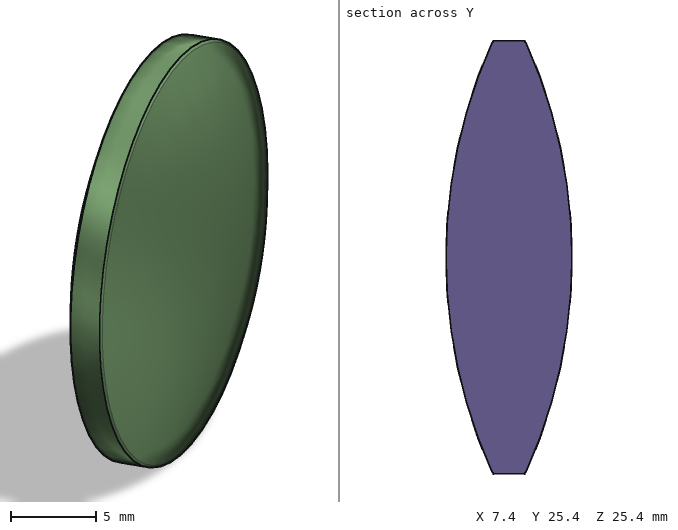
import cadquery as cq

diameter = 25.4
center_thickness = 7.4
rim_width = 1.83
chamfer_width = 0.1
chamfer_depth = 0.15

radius = diameter / 2
half_thickness = center_thickness / 2
half_rim = rim_width / 2
face_radius = radius - chamfer_depth
face_edge_x = half_rim + chamfer_width

sag = half_thickness - face_edge_x
sphere_radius = (face_radius**2 + sag**2) / (2 * sag)

mid_y = face_radius / 2
mid_x = half_thickness - sphere_radius + (sphere_radius**2 - mid_y**2) ** 0.5

half_section = (
    cq.Workplane("XY")
    .moveTo(-half_thickness, 0)
    .threePointArc((-mid_x, mid_y), (-face_edge_x, face_radius))
    .lineTo(-half_rim, radius)
    .lineTo(half_rim, radius)
    .lineTo(face_edge_x, face_radius)
    .threePointArc((mid_x, mid_y), (half_thickness, 0))
    .close()
)

result = half_section.revolve(360, (0, 0, 0), (1, 0, 0))